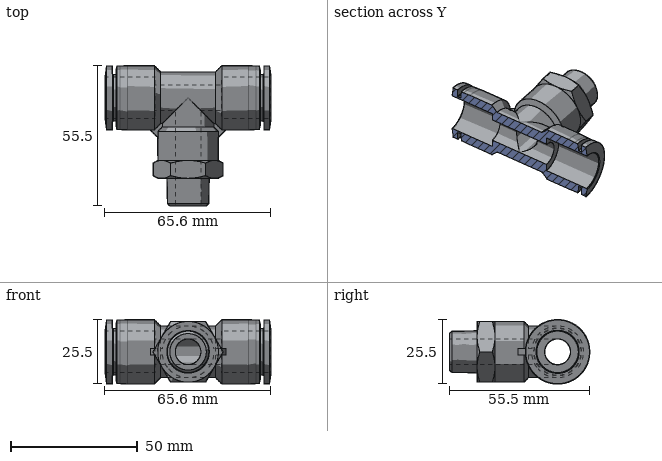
import cadquery as cq
import math

overall_depth = 55.55
socket_diameter = 25.5
half_length = 32.8
neck_radius = 10.25
socket_radius = socket_diameter / 2
shoulder_start = 10.8
shoulder_end = shoulder_start + socket_radius - neck_radius
taper_start = 23.9
cap_start = 26.9
cap_rim = 28.15
cap_end = 28.55
cap_radius = 12.6
cap_end_radius = 10.95
collar_radius = 9.25
collar_flare_start = 29.5
collar_flare_radius = 9.45
ring_start = 29.9
ring_rim = 32.2
ring_radius = 12.65
mouth_radius = 8.5
tube_radius = 8.2
mouth_chamfer = mouth_radius - tube_radius
tube_stop = 13.1
bore_radius = 5.05

branch_radius = 12.0
branch_shoulder_start = 11.5
branch_shoulder_end = branch_shoulder_start + branch_radius - neck_radius
nut_start = 24.7
nut_end = 31.8
nut_sides = 6
nut_flats = 2 * branch_radius
nut_corners = nut_flats / math.cos(math.pi / nut_sides)
nut_chamfer_angle = 30.0
stud_root_radius = 8.4
stud_tip_radius = 8.2
stud_chamfer = 1.0
branch_end = overall_depth - socket_radius

gusset_thickness = 2.7
gusset_reach = 27.7


def revolve_about_x(points):
    return cq.Workplane("XY").polyline(points).close().revolve(360, (0, 0, 0), (1, 0, 0))


def revolve_about_y(points):
    """Revolve (distance along -Y, radius) points about the Y axis."""
    profile = [(radius, -distance) for distance, radius in points]
    return cq.Workplane("XY").polyline(profile).close().revolve(360, (0, 0, 0), (0, 1, 0))


def run_half():
    return revolve_about_x([
        (0, 0),
        (0, neck_radius),
        (shoulder_start, neck_radius),
        (shoulder_end, socket_radius),
        (taper_start, socket_radius),
        (cap_start, cap_radius),
        (cap_rim, cap_radius),
        (cap_end, cap_end_radius),
        (cap_end, collar_radius),
        (collar_flare_start, collar_radius),
        (ring_start, collar_flare_radius),
        (ring_start, ring_radius),
        (ring_rim, ring_radius),
        (half_length, mouth_radius),
        (half_length, 0),
    ])


def socket_cut():
    return revolve_about_x([
        (0, 0),
        (0, bore_radius),
        (tube_stop, bore_radius),
        (tube_stop, tube_radius),
        (half_length - mouth_chamfer, tube_radius),
        (half_length, mouth_radius),
        (half_length, 0),
    ])


def branch():
    return revolve_about_y([
        (0, 0),
        (0, neck_radius),
        (branch_shoulder_start, neck_radius),
        (branch_shoulder_end, branch_radius),
        (nut_end, branch_radius),
        (nut_end, stud_root_radius),
        (branch_end - stud_chamfer, stud_tip_radius),
        (branch_end, stud_tip_radius - stud_chamfer),
        (branch_end, 0),
    ])


def nut():
    """Hexagon with corners on the X axis, both ends turned down to the flats."""
    corner_radius = nut_corners / 2
    chamfer_length = (corner_radius - branch_radius) * math.tan(math.radians(nut_chamfer_angle))
    hexagon = (
        cq.Workplane("XZ", origin=(0, -nut_start, 0))
        .polygon(nut_sides, nut_corners)
        .extrude(nut_end - nut_start)
    )
    turned_blank = revolve_about_y([
        (nut_start, 0),
        (nut_start, branch_radius),
        (nut_start + chamfer_length, corner_radius),
        (nut_end - chamfer_length, corner_radius),
        (nut_end, branch_radius),
        (nut_end, 0),
    ])
    return hexagon.intersect(turned_blank)


def gussets():
    """One web across the run and branch, leaving a triangle in each inside corner."""
    top_x = gusset_reach - socket_radius
    bottom_y = gusset_reach - branch_radius
    return (
        cq.Workplane("XY")
        .polyline([
            (-top_x, 0),
            (-top_x, -socket_radius),
            (-branch_radius, -bottom_y),
            (branch_radius, -bottom_y),
            (top_x, -socket_radius),
            (top_x, 0),
        ])
        .close()
        .extrude(gusset_thickness / 2, both=True)
    )


def mirrored_pair(half):
    return half.union(half.mirror("YZ"))


body = mirrored_pair(run_half()).union(branch()).union(nut()).union(gussets())
branch_bore = cq.Workplane("XZ").circle(bore_radius).extrude(branch_end)
result = body.cut(mirrored_pair(socket_cut())).cut(branch_bore)